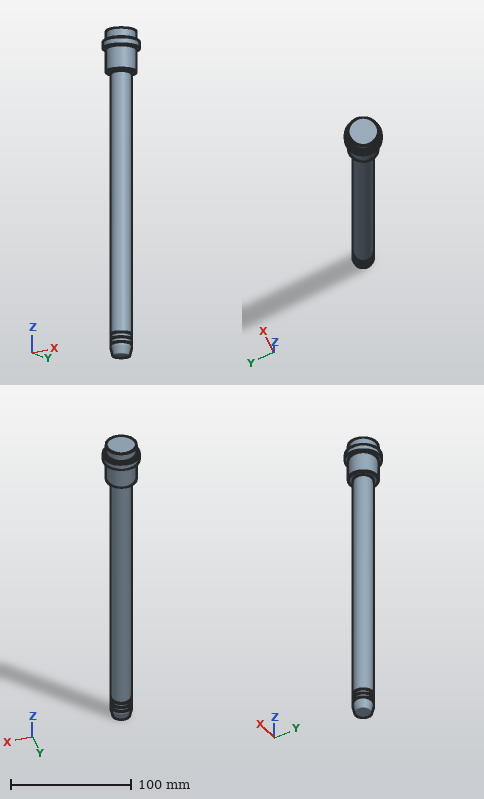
import cadquery as cq

total_length = 281.0
head_length = 36.0
collar_top_depth = 8.7
collar_height = 6.2
tip_length = 7.0

shaft_diameter = 18.0
head_diameter = 25.9
collar_diameter = 31.0
cone_end_diameter = 14.5

head_top_chamfer = 0.5
head_bottom_chamfer = 0.8
collar_chamfer = 0.8
tip_fillet = 0.8

relief_width = 0.8
relief_depth = 0.3

groove_count = 3
first_groove_height = 10.0
groove_pitch = 4.2
groove_width = 0.8
groove_depth = 0.3

head_bottom = total_length - head_length
collar_top = total_length - collar_top_depth
collar_bottom = collar_top - collar_height


def disc(diameter, bottom, height):
    """Cylinder on the pin axis, starting at the given level."""
    return cq.Workplane("XY").workplane(offset=bottom).circle(diameter / 2).extrude(height)


def ring_groove(diameter, bottom, width, depth):
    """Cutter for a square groove of the given depth in a cylinder of the given diameter."""
    core = disc(diameter - 2 * depth, bottom, width)
    return disc(diameter + 2 * depth, bottom, width).cut(core)


def make_shaft():
    """Shaft from the tip up to the head, with a conical, rounded lead-in."""
    shaft_radius = shaft_diameter / 2
    profile = (
        cq.Workplane("XZ")
        .lineTo(cone_end_diameter / 2, 0)
        .lineTo(shaft_radius, tip_length)
        .lineTo(shaft_radius, head_bottom)
        .lineTo(0, head_bottom)
        .close()
    )
    shaft = profile.revolve(360, (0, 0, 0), (0, 1, 0))
    return shaft.faces("<Z").edges().fillet(tip_fillet)


def make_head():
    """Cylindrical head with both rims chamfered."""
    head = disc(head_diameter, head_bottom, head_length)
    head = head.faces(">Z").edges().chamfer(head_top_chamfer)
    return head.faces("<Z").edges().chamfer(head_bottom_chamfer)


def make_collar():
    """Locating collar with a chamfered top rim."""
    collar = disc(collar_diameter, collar_bottom, collar_height)
    return collar.faces(">Z").edges().chamfer(collar_chamfer)


result = make_shaft().union(make_head()).union(make_collar())

for diameter, bottom in (
    (head_diameter, collar_top),
    (head_diameter, collar_bottom - relief_width),
    (shaft_diameter, head_bottom - relief_width),
):
    result = result.cut(ring_groove(diameter, bottom, relief_width, relief_depth))

for index in range(groove_count):
    groove_bottom = first_groove_height + index * groove_pitch - groove_width / 2
    result = result.cut(ring_groove(shaft_diameter, groove_bottom, groove_width, groove_depth))